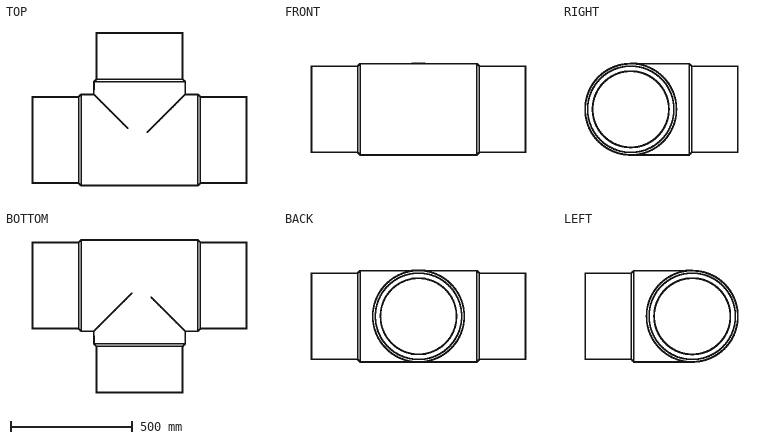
import cadquery as cq

run_length = 880.0
branch_reach = run_length / 2
spigot_diameter = 355.0
body_diameter = 376.0
bore_diameter = 312.0
body_reach = 250.0
shoulder_chamfer = (body_diameter - spigot_diameter) / 2


def run_cylinder(diameter, length):
    """Cylinder along X, centred on the tee centre."""
    return cq.Workplane("YZ").circle(diameter / 2).extrude(length / 2, both=True)


def branch_cylinder(diameter, reach):
    """Cylinder from the tee centre out along +Y."""
    return cq.Workplane("XZ").circle(diameter / 2).extrude(-reach)


run_body = run_cylinder(body_diameter, 2 * body_reach).faces("<X or >X").chamfer(shoulder_chamfer)
branch_body = branch_cylinder(body_diameter, body_reach).faces(">Y").chamfer(shoulder_chamfer)

run_spigots = run_cylinder(spigot_diameter, run_length)
branch_spigot = branch_cylinder(spigot_diameter, branch_reach)

run_bore = run_cylinder(bore_diameter, run_length)
branch_bore = branch_cylinder(bore_diameter, branch_reach)

outside = run_body.union(branch_body).union(run_spigots).union(branch_spigot)
result = outside.cut(run_bore).cut(branch_bore)